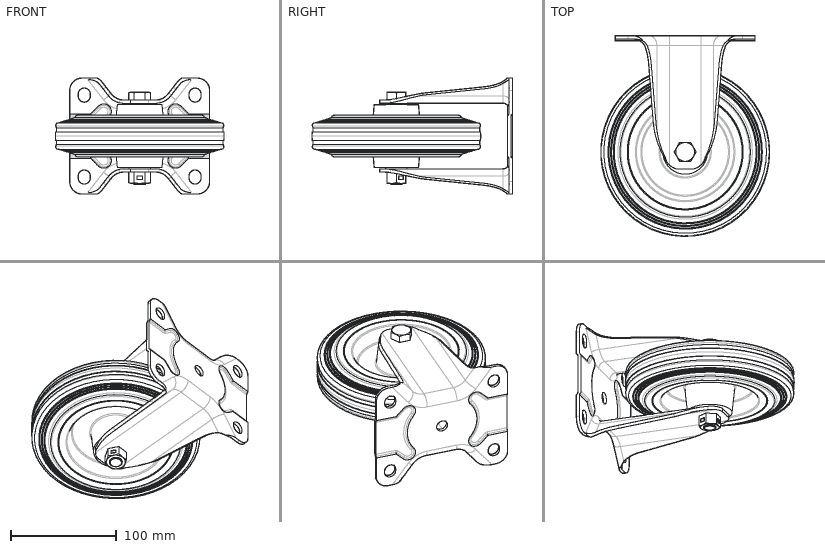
import cadquery as cq
import math


plate_length = 132.6
plate_width = 110.0
plate_corner_radius = 12.0
plate_back = 110.0
sheet = 3.2
plate_front = plate_back - sheet
slot_length = 13.1
slot_width = 11.2
slot_x = 52.5
slot_z = 38.8
centre_hole_radius = 5.5

bead_depth = 1.7
bead_angle = 50
bead_crest_fillet = 2.8
bead_half_width = 21.0
bead_neck_x = 46.4
bead_ear_x = 34.0
bead_ear_z = 23.2
bead_ear_radius = 7.2
bead_waist_x = 35.2

leg_outer_z = 34.2
leg_inner_z = leg_outer_z - sheet
flat_half_width = 15.0
wing_angle = 52
wing_bend_radius = 15.0
root_inner_radius = 6.0
root_outer_radius = root_inner_radius + sheet
leg_tip_y = -16.0
leg_tip_arc = ((8.5, leg_tip_y), (15.5, -11.8), (19.5, -5.3))
leg_knee = (30.0, 25.5)
leg_flare = ((34.4, 80.0), (35.7, 91.2), (38.4, 100.3), (41.0, 104.5), (49.4, plate_front))

bolt_radius = 6.0
hex_across_flats = 18.0
bolt_head_height = 7.5
nut_height = 10.6
bolt_end_length = 1.0
bolt_end_chamfer = 0.8
hex_chamfer_width = 1.5
hex_chamfer_height = 0.8
nut_mark_width = 5.0
nut_mark_height = 3.2
nut_mark_depth = 0.5

wheel_radius = 80.0
hub_half_length = 29.8
hub_end_radius = 21.0
hub_base_radius = 23.8
web_half_thickness = 4.2
rim_half_width = 17.9
rim_wall_base_radius = 41.8
rim_wall_top_radius = 46.4
rim_fillet = 1.1
tyre_bore_radius = 54.0
spacer_radius = 10.0

lip_start = (55.0, rim_half_width)
lip_crest = (58.1, 20.0)
lip_end = (60.8, 18.8)
lip_foot_radius = 61.8
lip_foot_z = 17.5
side_inner_radius = 63.6
side_inner_z = 16.7
side_outer_radius = 77.0
side_outer_z = 12.5
shoulder_middle = (79.0, 11.8)
shoulder_radius = 79.6
shoulder_z = 9.5
tread_edge_z = 7.8
tread_edge_radius = 79.0
crown_z = 4.0
crown_radius = 79.8
side_groove_radii = (67.6, 70.1, 72.5)
side_groove_width = 1.0
side_groove_depth = 0.5


def box(x_range, y_range, z_range):
    """Box between the given limits on each axis."""
    size = [high - low for low, high in (x_range, y_range, z_range)]
    return cq.Workplane().box(*size, centered=False).translate((x_range[0], y_range[0], z_range[0]))


def mirrored(half):
    """Join a shape to its mirror image across the XY plane."""
    return half.union(half.mirror("XY"))



def fork_prism(flat_z, bend_radius, back_y, root_radius):
    """Solid with the fork's hourglass section, rounded where its long walls meet the back face."""
    angle = math.radians(wing_angle)
    bend_x = flat_half_width + bend_radius * math.sin(angle)
    bend_z = flat_z + bend_radius * (1 - math.cos(angle))
    half_bend_x = flat_half_width + bend_radius * math.sin(angle / 2)
    half_bend_z = flat_z + bend_radius * (1 - math.cos(angle / 2))
    end_x = plate_length
    end_z = bend_z + (end_x - bend_x) * math.tan(angle)
    start_y = leg_tip_y - sheet
    prism = (
        cq.Workplane("XZ", origin=(0, back_y, 0))
        .moveTo(-end_x, -end_z)
        .lineTo(-bend_x, -bend_z)
        .threePointArc((-half_bend_x, -half_bend_z), (-flat_half_width, -flat_z))
        .lineTo(flat_half_width, -flat_z)
        .threePointArc((half_bend_x, -half_bend_z), (bend_x, -bend_z))
        .lineTo(end_x, -end_z)
        .lineTo(end_x, end_z)
        .lineTo(bend_x, bend_z)
        .threePointArc((half_bend_x, half_bend_z), (flat_half_width, flat_z))
        .lineTo(-flat_half_width, flat_z)
        .threePointArc((-half_bend_x, half_bend_z), (-bend_x, bend_z))
        .lineTo(-end_x, end_z)
        .close()
        .extrude(back_y - start_y)
    )
    return prism.faces(">Y").edges("not(<X or >X)").fillet(root_radius)


def leg_half_width_at(inner_x, z):
    """X at height z on the line square to the sheet through a point of its inner face."""
    inner_bend_radius = wing_bend_radius + sheet
    steepest = math.sin(math.radians(wing_angle))
    sine = max(0, min((inner_x - flat_half_width) / inner_bend_radius, steepest))
    angle = math.asin(sine)
    bend_end_x = flat_half_width + inner_bend_radius * sine
    inner_z = leg_inner_z + inner_bend_radius * (1 - math.cos(angle))
    inner_z += max(0, inner_x - bend_end_x) * math.tan(angle)
    return inner_x - (z - inner_z) * math.tan(angle)


def leg_outline(z):
    """Leg outline at height z: rounded tip, straight tapers, and a flare into the plate."""
    def placed(points, side):
        return [(side * leg_half_width_at(x, z), y) for x, y in points]

    right_tip, left_tip = placed(leg_tip_arc, 1), placed(leg_tip_arc, -1)
    right_flare, left_flare = placed(leg_flare, 1), placed(leg_flare, -1)
    return (
        cq.Workplane("XY", origin=(0, 0, z))
        .moveTo(*left_tip[0])
        .lineTo(*right_tip[0])
        .threePointArc(*right_tip[1:])
        .lineTo(*placed([leg_knee], 1)[0])
        .lineTo(*right_flare[0])
        .spline(right_flare[1:], includeCurrent=True)
        .lineTo(plate_length, plate_front)
        .lineTo(plate_length, plate_back + sheet)
        .lineTo(-plate_length, plate_back + sheet)
        .lineTo(-plate_length, plate_front)
        .lineTo(*left_flare[-1])
        .spline(left_flare[-2::-1], includeCurrent=True)
        .lineTo(*placed([leg_knee], -1)[0])
        .lineTo(*left_tip[2])
        .threePointArc(left_tip[1], left_tip[0])
        .close()
        .val()
    )


def sheet_trim():
    """Volume that keeps the plate and the tapered legs, with leg edges square to the sheet."""
    low, high = leg_inner_z - sheet, plate_width / 2 + sheet
    legs = cq.Workplane(cq.Solid.makeLoft([leg_outline(low), leg_outline(high)], True))
    reach = (-plate_length, plate_length)
    root_y = plate_back - root_outer_radius
    middle = box(reach, (root_y, plate_back), (-leg_inner_z, leg_inner_z))
    plate = box(reach, (plate_front, plate_back), (-plate_width, plate_width))
    return mirrored(legs).union(middle).union(plate)


def plate_blank():
    """Rounded plate outline carried along the whole fork."""
    depth = plate_back - leg_tip_y
    blank = cq.Workplane("XZ", origin=(0, plate_back, 0)).rect(plate_length, plate_width).extrude(depth)
    return blank.edges("|Y").fillet(plate_corner_radius)


def bead_prism(side, back_y):
    """Dog-bone bead from one plate edge towards the middle, raised towards -Y with sloping walls."""
    neck_dx, neck_dz = bead_neck_x - bead_ear_x, bead_half_width - bead_ear_z
    flank_angle = math.atan2(neck_dz, neck_dx)
    flank_angle += math.acos(bead_ear_radius / math.hypot(neck_dx, neck_dz))
    waist_gap = bead_waist_x - bead_ear_x
    waist_radius = (waist_gap**2 + bead_ear_z**2 - bead_ear_radius**2) / (2 * (waist_gap + bead_ear_radius))
    waist_angle = math.pi + math.atan2(bead_ear_z, waist_radius - waist_gap)

    def on_ear(angle, end):
        x = bead_ear_x + bead_ear_radius * math.cos(angle)
        z = bead_ear_z + bead_ear_radius * math.sin(angle)
        return side * x, end * z

    crest_angle = (flank_angle + waist_angle) / 2
    edge_x = plate_length / 2 + 2 * bead_depth
    bead = (
        cq.Workplane("XZ", origin=(0, back_y, 0))
        .moveTo(side * edge_x, bead_half_width)
        .lineTo(side * bead_neck_x, bead_half_width)
        .lineTo(*on_ear(flank_angle, 1))
        .threePointArc(on_ear(crest_angle, 1), on_ear(waist_angle, 1))
        .threePointArc((side * bead_waist_x, 0), on_ear(waist_angle, -1))
        .threePointArc(on_ear(crest_angle, -1), on_ear(flank_angle, -1))
        .lineTo(side * bead_neck_x, -bead_half_width)
        .lineTo(side * edge_x, -bead_half_width)
        .close()
        .extrude(bead_depth, taper=bead_angle)
    )
    return bead.faces("<Y").edges().fillet(bead_crest_fillet)


def along_axle(radius, low, high):
    """Cylinder on the axle line between two heights."""
    return cq.Workplane("XY", origin=(0, 0, low)).circle(radius).extrude(high - low)


def make_bracket():
    outer = fork_prism(leg_outer_z, wing_bend_radius, plate_back, root_outer_radius)
    inner = fork_prism(leg_inner_z, wing_bend_radius + sheet, plate_front, root_inner_radius)
    bracket = outer.cut(inner).intersect(plate_blank()).intersect(sheet_trim())
    for side in (-1, 1):
        bracket = bracket.union(bead_prism(side, plate_front).intersect(plate_blank()))
    for side in (-1, 1):
        bracket = bracket.cut(bead_prism(side, plate_back))
    slots = (
        cq.Workplane("XZ", origin=(0, plate_back, 0))
        .rect(2 * slot_x, 2 * slot_z, forConstruction=True)
        .vertices()
        .slot2D(slot_length, slot_width, 90)
        .extrude(sheet)
    )
    centre_hole = cq.Workplane("XZ", origin=(0, plate_back, 0)).circle(centre_hole_radius).extrude(sheet)
    return bracket.cut(slots).cut(centre_hole).cut(along_axle(bolt_radius, -plate_width, plate_width))



def make_rim():
    """Rim, web and hub turned as one body."""
    half = (
        cq.Workplane("XZ")
        .moveTo(bolt_radius, 0)
        .lineTo(tyre_bore_radius, 0)
        .lineTo(tyre_bore_radius, rim_half_width)
        .lineTo(rim_wall_top_radius, rim_half_width)
        .lineTo(rim_wall_base_radius, web_half_thickness)
        .lineTo(hub_base_radius, web_half_thickness)
        .lineTo(hub_end_radius, hub_half_length)
        .lineTo(bolt_radius, hub_half_length)
        .close()
        .revolve(360, (0, 0, 0), (0, 1, 0))
    )
    web_corners = cq.selectors.BoxSelector(
        (-tyre_bore_radius, -tyre_bore_radius, web_half_thickness - rim_fillet),
        (tyre_bore_radius, tyre_bore_radius, web_half_thickness + rim_fillet),
        boundingbox=True,
    )
    half = half.edges("%CIRCLE").edges(web_corners).fillet(rim_fillet)
    rim_face_centre = ((rim_wall_top_radius + tyre_bore_radius) / 2, 0, rim_half_width)
    rim_face = half.faces(cq.selectors.NearestToPointSelector(rim_face_centre))
    half = rim_face.edges(cq.selectors.RadiusNthSelector(0)).fillet(rim_fillet)
    return mirrored(half)


def make_tyre():
    """Tyre with a rounded inner lip, sloping grooved sides and a stepped tread."""
    half = (
        cq.Workplane("XZ")
        .moveTo(tyre_bore_radius, 0)
        .lineTo(tyre_bore_radius, rim_half_width)
        .lineTo(*lip_start)
        .threePointArc(lip_crest, lip_end)
        .lineTo(lip_foot_radius, lip_foot_z)
        .lineTo(side_inner_radius, side_inner_z)
        .lineTo(side_outer_radius, side_outer_z)
        .threePointArc(shoulder_middle, (shoulder_radius, shoulder_z))
        .lineTo(tread_edge_radius, tread_edge_z)
        .lineTo(tread_edge_radius, crown_z)
        .lineTo(crown_radius, crown_z)
        .lineTo(wheel_radius, 0)
        .close()
        .revolve(360, (0, 0, 0), (0, 1, 0))
    )
    slope = (side_outer_z - side_inner_z) / (side_outer_radius - side_inner_radius)
    for radius in side_groove_radii:
        floor_z = side_inner_z + slope * (radius - side_inner_radius) - side_groove_depth
        ring = (
            cq.Workplane("XY", origin=(0, 0, floor_z))
            .circle(radius + side_groove_width / 2)
            .circle(radius - side_groove_width / 2)
            .extrude(rim_half_width)
        )
        half = half.cut(ring)
    return mirrored(half)



def hexagon(low, high, side):
    """Hexagonal block on the axle line, its corners chamfered at the end facing `side` along Z."""
    corner_diameter = hex_across_flats / math.cos(math.pi / 6)
    height = high - low
    block = cq.Workplane("XY", origin=(0, 0, low)).polygon(6, corner_diameter).extrude(height)
    turned = along_axle(corner_diameter / 2, low, high)
    turned = turned.faces(">Z" if side > 0 else "<Z").chamfer(hex_chamfer_height, hex_chamfer_width)
    return block.intersect(turned)


def make_bolt():
    head = hexagon(leg_outer_z, leg_outer_z + bolt_head_height, 1)
    shank = along_axle(bolt_radius, -leg_outer_z - nut_height - bolt_end_length, leg_outer_z)
    return shank.faces("<Z").chamfer(bolt_end_chamfer).union(head)


def make_nut():
    """Nut with a shallow rectangular recess in every second flat."""
    nut = hexagon(-leg_outer_z - nut_height, -leg_outer_z, -1)
    mark = (
        cq.Workplane("XZ", origin=(0, -hex_across_flats / 2, -leg_outer_z - nut_height / 2))
        .rect(nut_mark_width, nut_mark_height)
        .extrude(-nut_mark_depth)
    )
    for turn in (0, 120, 240):
        nut = nut.cut(mark.rotate((0, 0, 0), (0, 0, 1), turn))
    return nut.cut(along_axle(bolt_radius, -plate_width, 0))


def make_spacer(low, high):
    """Washer filling the gap between a hub end and a fork leg."""
    return along_axle(spacer_radius, low, high).cut(along_axle(bolt_radius, low, high))


bracket = make_bracket()
rim = make_rim()
tyre = make_tyre()
bolt = make_bolt()
nut = make_nut()
spacer_spans = ((hub_half_length, leg_inner_z), (-leg_inner_z, -hub_half_length))
spacers = [make_spacer(low, high) for low, high in spacer_spans]
bodies = [bracket, rim, tyre, bolt, nut, *spacers]
result = cq.Compound.makeCompound([body.solids().val() for body in bodies])